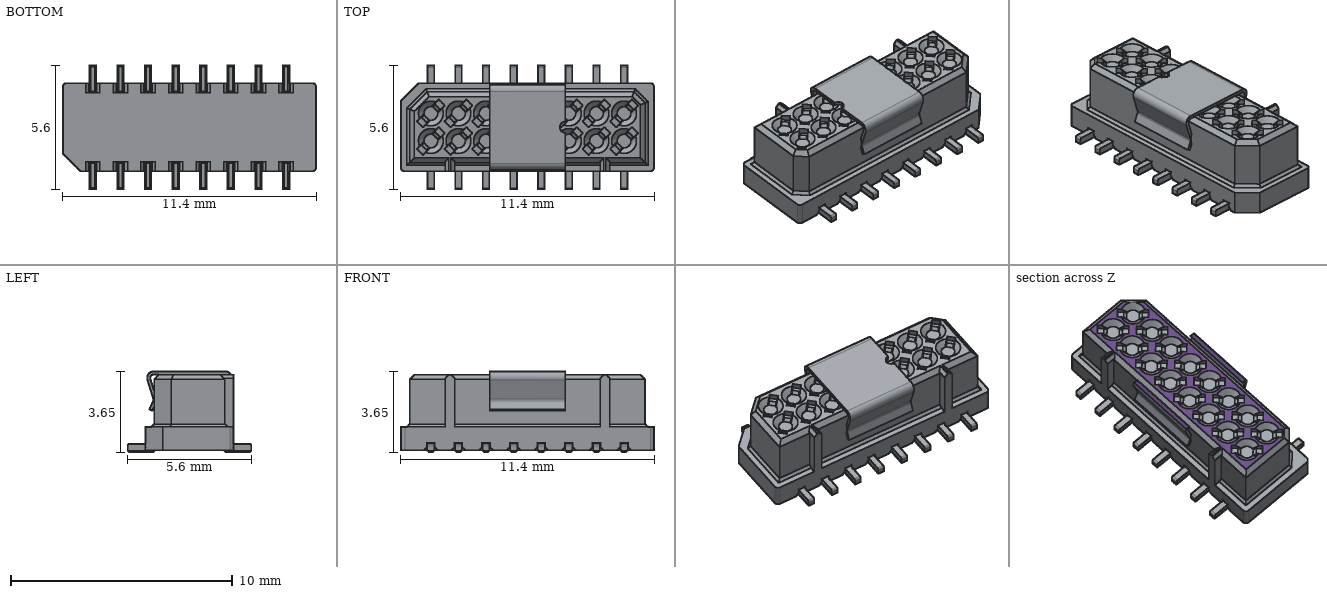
import cadquery as cq
import math


base_length = 11.45
base_width = 4.0
base_height = 1.06
base_corner_cut = 0.8
base_corner_radius = 0.17

tower_length = 10.65
tower_width = 3.21
tower_top = 3.42
tower_cut_left = 0.79
tower_cut_right = 0.5
tower_chamfer = 0.22
flare = 0.13

rib_x = 3.5
rib_width = 0.41
rib_chamfer = 0.16

columns = 8
pitch = 1.25
column_places = [(i - (columns - 1) / 2) * pitch for i in range(columns)]
row_places = [-pitch / 2, pitch / 2]
socket_radius = 0.56
socket_depth = 0.25
socket_floor = tower_top - socket_depth
slot_length = 1.4
slot_width = 0.39
slot_angle = 45

tip_inner = 0.27
tip_outer = 0.42
tip_width = 0.32
tip_height = 0.11
tip_bulge = 0.01

lead_span = 5.6
lead_width = 0.31
lead_top = 0.3
lead_bottom = -0.08
lead_end_radius = 0.09
lead_foot_chamfer = 0.07
lead_inner_y = 1.57
notch_width = 0.37
notch_height = 0.35
notch_slope = 0.14

clip_length = 3.42
clip_width = 3.84
clip_thickness = 0.15
clip_corner_radius = 0.3
clip_leg_angle = 17
clip_leg_length = 0.9
clip_bend_radius = 0.13
clip_flare_angle = 24
clip_flare_length = 0.42
clip_notch_radius = 0.25
clip_top = tower_top + clip_thickness


def make_base():
    corner = (-base_length / 2, base_width / 2)
    block = cq.Workplane("XY").rect(base_length, base_width).extrude(base_height)
    cut_edge = cq.selectors.NearestToPointSelector((*corner, base_height / 2))
    block = block.edges(cut_edge).chamfer(base_corner_cut)
    return block.edges("|Z and (>X or <Y)").fillet(base_corner_radius)


def tower_outline(z):
    half_x = tower_length / 2
    half_y = tower_width / 2
    return (
        cq.Workplane("XY", origin=(0, 0, z))
        .moveTo(-half_x, -half_y)
        .lineTo(half_x, -half_y)
        .lineTo(half_x, half_y - tower_cut_right)
        .lineTo(half_x - tower_cut_right, half_y)
        .lineTo(-half_x + tower_cut_left, half_y)
        .lineTo(-half_x, half_y - tower_cut_left)
        .close()
    )


def make_tower():
    tower = tower_outline(0).extrude(tower_top).faces(">Z").chamfer(tower_chamfer)
    foot = tower_outline(base_height).offset2D(flare, "intersection").extrude(flare, taper=45)
    return tower.union(foot)


def make_rib(x):
    depth = (base_width - tower_width) / 2 + tower_chamfer
    rib = (
        cq.Workplane("XY", origin=(x, -(base_width - depth) / 2, 0))
        .rect(rib_width, depth)
        .extrude(tower_top)
    )
    return rib.faces(">Z").edges("|Y").chamfer(rib_chamfer)


def make_socket_cutter():
    """Countersink and slot sharing one floor, centred on the Z axis."""
    cone = (
        cq.Workplane("XY", origin=(0, 0, tower_top))
        .circle(socket_radius)
        .extrude(-socket_depth, taper=45)
    )
    slot = (
        cq.Workplane("XY", origin=(0, 0, socket_floor))
        .rect(slot_length, slot_width)
        .extrude(socket_depth)
        .rotate((0, 0, 0), (0, 0, 1), slot_angle)
    )
    return cone.union(slot)


def make_tip_pair():
    """Two rounded contact tips facing each other across the Z axis."""
    middle = ((tip_inner + tip_outer) / 2, socket_floor + tip_height / 2 + tip_bulge)
    tip = (
        cq.Workplane("XZ")
        .moveTo(tip_inner, socket_floor)
        .threePointArc(middle, (tip_outer, socket_floor + tip_height))
        .lineTo(tip_outer, socket_floor)
        .close()
        .extrude(tip_width / 2, both=True)
    )
    opposite = tip.rotate((0, 0, 0), (0, 0, 1), 180)
    pair = tip.add(opposite)
    return pair.rotate((0, 0, 0), (0, 0, 1), slot_angle)


def make_lead():
    """Solder lead on the +Y side."""
    length = lead_span / 2 - lead_inner_y
    lead = (
        cq.Workplane("XY", origin=(0, lead_inner_y + length / 2, lead_bottom))
        .rect(lead_width, length)
        .extrude(lead_top - lead_bottom)
    )
    lead = lead.edges(">Y and >Z").fillet(lead_end_radius)
    return lead.faces("<Z").chamfer(lead_foot_chamfer)


def make_notch():
    """Relief around a lead, widening towards the underside and open to the +Y face."""
    top_half = notch_width / 2
    bottom_half = top_half + notch_slope
    return (
        cq.Workplane("XZ", origin=(0, lead_inner_y, 0))
        .moveTo(-bottom_half, 0)
        .lineTo(bottom_half, 0)
        .lineTo(top_half, notch_slope)
        .lineTo(top_half, notch_height)
        .lineTo(-top_half, notch_height)
        .lineTo(-top_half, notch_slope)
        .close()
        .extrude(-(base_width / 2 - lead_inner_y))
    )


def make_clip():
    leg_turn = math.radians(-clip_leg_angle)
    flare_turn = math.radians(clip_flare_angle)
    corner = cq.Vector(clip_width / 2 - clip_corner_radius, clip_top - clip_corner_radius)

    def normal(turn):
        return cq.Vector(math.cos(turn), math.sin(turn))

    def down(turn):
        return cq.Vector(math.sin(turn), -math.cos(turn))

    leg_vector = down(leg_turn) * clip_leg_length
    bend = corner + normal(leg_turn) * (clip_corner_radius + clip_bend_radius) + leg_vector

    def leg_points(inset):
        """Points down one leg, at a distance inside the clip's outer face."""
        radius = clip_corner_radius - inset
        bend_radius = clip_bend_radius + inset
        flare_start = bend - normal(flare_turn) * bend_radius
        points = [
            corner + cq.Vector(0, radius),
            corner + normal((math.pi / 2 + leg_turn) / 2) * radius,
            corner + normal(leg_turn) * radius,
            bend - normal(leg_turn) * bend_radius,
            bend - normal((leg_turn + flare_turn) / 2) * bend_radius,
            flare_start,
            flare_start + down(flare_turn) * clip_flare_length,
        ]
        return [(p.x, p.y) for p in points]

    outer = leg_points(0)
    inner = leg_points(clip_thickness)
    half = (
        cq.Workplane("YZ")
        .moveTo(0, clip_top)
        .lineTo(*outer[0])
        .threePointArc(outer[1], outer[2])
        .lineTo(*outer[3])
        .threePointArc(outer[4], outer[5])
        .lineTo(*outer[6])
        .lineTo(*inner[6])
        .lineTo(*inner[5])
        .threePointArc(inner[4], inner[3])
        .lineTo(*inner[2])
        .threePointArc(inner[1], inner[0])
        .lineTo(0, tower_top)
        .close()
        .extrude(clip_length / 2, both=True)
    )
    notch = (
        cq.Workplane("XY", origin=(clip_length / 2, 0, tower_top))
        .circle(clip_notch_radius)
        .extrude(clip_thickness)
    )
    return half.union(half.mirror("XZ")).cut(notch)


def make_housing(clip):
    housing = make_base().union(make_tower())
    for x in (-rib_x, rib_x):
        housing = housing.union(make_rib(x))

    housing = housing.cut(clip)

    socket_cutter = make_socket_cutter()
    tip_pair = make_tip_pair()
    for x in column_places:
        for y in row_places:
            housing = housing.cut(socket_cutter.translate((x, y, 0)))
            for tip in tip_pair.translate((x, y, 0)).vals():
                housing = housing.union(cq.Workplane(tip))

    lead = make_lead()
    notch = make_notch()
    for x in column_places:
        for turn in (0, 180):
            place = cq.Location(cq.Vector(x, 0, 0), cq.Vector(0, 0, 1), turn)
            housing = housing.cut(cq.Workplane(notch.val().moved(place)))
            housing = housing.union(cq.Workplane(lead.val().moved(place)))
    return housing


clip = make_clip()
housing = make_housing(clip)
result = cq.Compound.makeCompound([housing.solids().val(), clip.solids().val()])